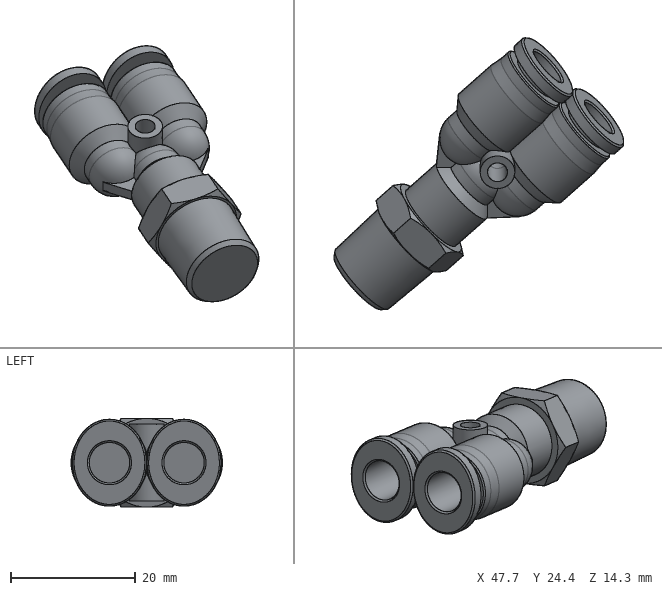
import cadquery as cq
import math

branch_offset = 6.0

flange_width = 11.95
flange_height = 14.0
flange_end = 1.95
flange_chamfer = 0.3
sleeve_diameter = 7.9
sleeve_end = 14.15
bore_diameter = 6.55
bore_chamfer = 0.3

collar_start = 3.1
collar_end = 4.9
collar_diameter = 11.9
collar_chamfer = 0.25
body_start = 6.9
body_diameter = 12.4
body_end = sleeve_end
nose_start = 16.1
nose_sphere_x = 18.05
nose_diameter = 8.85

boss_x = 16.95
stem_sphere_x = boss_x + nose_diameter / 2
stem_cone_start = 23.2
stem_cone_end = 24.8
stem_diameter = 12.0

boss_diameter = 5.6
boss_height = body_diameter
boss_hole_diameter = 3.2
web_thickness = 1.9

hex_start = 31.65
hex_end = 36.7
hex_across_flats = 14.3
hex_chamfer_length = 0.6
thread_end = 47.7
thread_start_diameter = 13.5
thread_tip_diameter = 12.9
tip_chamfer_length = 0.8
tip_face_diameter = 11.7


def revolve_about_x(profile):
    """Revolve a closed half profile drawn in XY about the X axis."""
    return profile.close().revolve(360, (0, 0, 0), (1, 0, 0))


def rod(start, end, diameter):
    """Round bar along X."""
    return cq.Workplane("YZ", origin=(start, 0, 0)).circle(diameter / 2).extrude(end - start)


def make_branch():
    """Stepped branch with a hemispherical nose, centred on the X axis."""
    nose_radius = nose_diameter / 2
    diagonal = nose_radius * math.sqrt(0.5)
    profile = (
        cq.Workplane("XY")
        .moveTo(collar_start, 0)
        .lineTo(collar_start, collar_diameter / 2 - collar_chamfer)
        .lineTo(collar_start + collar_chamfer, collar_diameter / 2)
        .lineTo(collar_end, collar_diameter / 2)
        .lineTo(body_start, body_diameter / 2)
        .lineTo(body_end, body_diameter / 2)
        .lineTo(nose_start, nose_radius)
        .lineTo(nose_sphere_x, nose_radius)
        .threePointArc((nose_sphere_x + diagonal, diagonal), (nose_sphere_x + nose_radius, 0))
    )
    return revolve_about_x(profile)


def make_stem():
    """Stem with a hemispherical inner end, a cone and a cylinder up to the hexagon."""
    radius = nose_diameter / 2
    diagonal = radius * math.sqrt(0.5)
    profile = (
        cq.Workplane("XY")
        .moveTo(stem_sphere_x - radius, 0)
        .threePointArc((stem_sphere_x - diagonal, diagonal), (stem_sphere_x, radius))
        .lineTo(stem_cone_start, radius)
        .lineTo(stem_cone_end, stem_diameter / 2)
        .lineTo(hex_start, stem_diameter / 2)
        .lineTo(hex_start, 0)
    )
    return revolve_about_x(profile)


def make_web():
    """Flat web whose slanted edges run tangent from the nose spheres to the stem."""
    nose_radius = nose_diameter / 2
    stem_radius = stem_diameter / 2
    edge_x = stem_cone_end - nose_sphere_x
    edge_y = stem_radius - branch_offset
    tangent_angle = math.atan2(edge_y, edge_x) + math.acos(nose_radius / math.hypot(edge_x, edge_y))
    tangent_x = nose_sphere_x + nose_radius * math.cos(tangent_angle)
    tangent_y = branch_offset + nose_radius * math.sin(tangent_angle)
    return (
        cq.Workplane("XY")
        .polyline([
            (nose_sphere_x, -branch_offset),
            (tangent_x, -tangent_y),
            (stem_cone_end, -stem_radius),
            (stem_cone_end, stem_radius),
            (tangent_x, tangent_y),
            (nose_sphere_x, branch_offset),
        ])
        .close()
        .extrude(web_thickness / 2, both=True)
    )


def upright_cylinder(diameter):
    """Cylinder along Z on the mounting hole axis."""
    return cq.Workplane("XY").center(boss_x, 0).circle(diameter / 2).extrude(boss_height / 2, both=True)


def make_housing():
    """Y-shaped housing with a blind socket for each release sleeve."""
    housing = make_stem().union(make_web()).union(upright_cylinder(boss_diameter))
    for side in (-1, 1):
        housing = housing.union(make_branch().translate((0, side * branch_offset, 0)))
    for side in (-1, 1):
        socket = rod(collar_start, sleeve_end, sleeve_diameter)
        housing = housing.cut(socket.translate((0, side * branch_offset, 0)))
    return housing.cut(upright_cylinder(boss_hole_diameter))


def make_release_sleeve():
    """Tubular sleeve with an oval push flange, centred on the X axis."""
    flange = (
        cq.Workplane("YZ")
        .ellipse(flange_width / 2, flange_height / 2)
        .extrude(flange_end)
        .faces("<X")
        .chamfer(flange_chamfer)
    )
    sleeve = flange.union(rod(flange_end, sleeve_end, sleeve_diameter))
    sleeve = sleeve.cut(rod(0, sleeve_end, bore_diameter))
    return sleeve.faces("<X").edges("%CIRCLE").chamfer(bore_chamfer)


def make_threaded_stud():
    """Hexagon with turned corners and a tapered threaded end, modelled smooth."""
    corner_diameter = hex_across_flats / math.cos(math.radians(30))
    hexagon = (
        cq.Workplane("YZ", origin=(hex_start, 0, 0))
        .polygon(6, corner_diameter)
        .extrude(hex_end - hex_start)
    )
    turned_corners = revolve_about_x(
        cq.Workplane("XY")
        .moveTo(hex_start, 0)
        .lineTo(hex_start, hex_across_flats / 2)
        .lineTo(hex_start + hex_chamfer_length, corner_diameter / 2)
        .lineTo(hex_end - hex_chamfer_length, corner_diameter / 2)
        .lineTo(hex_end, hex_across_flats / 2)
        .lineTo(hex_end, 0)
    )
    thread = revolve_about_x(
        cq.Workplane("XY")
        .moveTo(hex_end, 0)
        .lineTo(hex_end, thread_start_diameter / 2)
        .lineTo(thread_end - tip_chamfer_length, thread_tip_diameter / 2)
        .lineTo(thread_end, tip_face_diameter / 2)
        .lineTo(thread_end, 0)
    )
    return hexagon.intersect(turned_corners).union(thread)


housing = make_housing()
threaded_stud = make_threaded_stud()
release_sleeves = []
for side in (-1, 1):
    release_sleeve = make_release_sleeve().translate((0, side * branch_offset, 0))
    release_sleeves.append(release_sleeve.val())

result = cq.Compound.makeCompound([housing.val(), threaded_stud.val(), *release_sleeves])